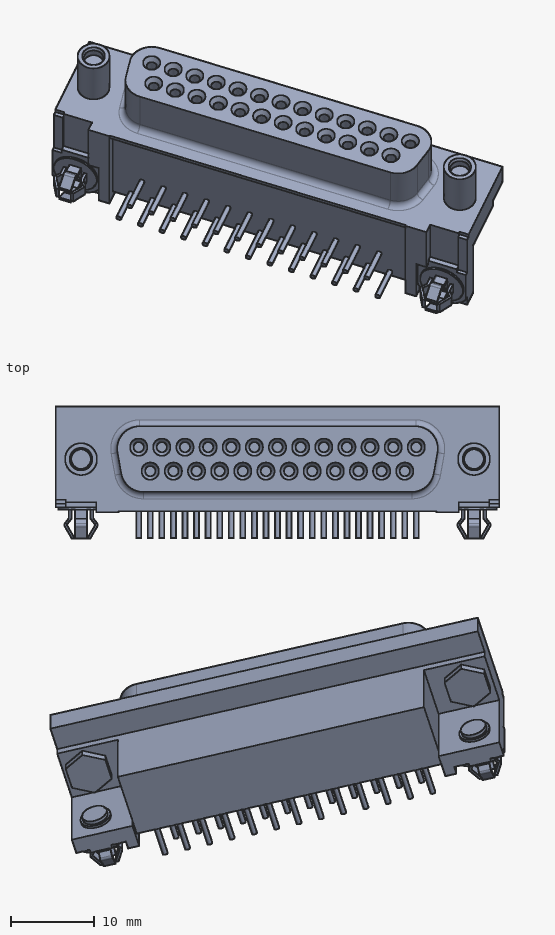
import cadquery as cq
import math

LENGTH = 53.1
FLANGE_TOP = 12.85
FLANGE_BOTTOM = 9.95
BODY_BACK = 12.7
STEP_Y = 9.6
STEP_BOTTOM = 8.95
WALL_BACK = 3.0

INSERT_HALF_X = 19.0
INSERT_BOTTOM = 1.1
INSERT_FRONT = 1.05
LIP_BOTTOM = 12.35
FLANGE_FRONT = 0.1

ROW_GAP = 2.85
LONG_ROW = 13
SHORT_ROW = LONG_ROW - 1
LONG_ROW_SPAN = 33.25
PITCH = LONG_ROW_SPAN / (LONG_ROW - 1)
CENTRE_Y = 6.35
SOCKET_DIA = 1.2
SOCKET_MOUTH = 2.05
SOCKET_SINK = 0.65
SOCKET_DEPTH = 4.25
PIN_DIA = 0.65
PIN_TIP_Y = -3.1
PIN_ROW_Z = 1.85

SHELL_TOP = 18.9
SHELL_DEPTH = 7.85
SHELL_MID_HALF_X = 19.0
SHELL_SLANT = 10.0
SHELL_CORNER = 2.65
SHELL_FLARE = 0.8

END_X = 23.5
POST_TOP = 18.75
POST_DIA = 3.8
POST_BORE = 2.35
POST_MOUTH = 2.7
POST_SINK = 0.35
POST_DEPTH = 1.3
NUT_CORNERS = 5.7
NUT_HEIGHT = 0.9

END_FACE_Y = 1.0
RELIEF_INNER_X = 21.7
CHANNEL_OUTER_X = 25.4
CHANNEL_FLOOR_Y = 1.2
LEDGE_TOP = 6.75
LEDGE_FRONT = 0.6
CORNER_NOTCH_Y = 1.5
LOCK_POCKET_X = 20.4
LOCK_POCKET_TOP = 6.15

LOCK_Z = 3.25
LOCK_DISC_DIA = 5.5
LOCK_DISC_FRONT = 0.3
LOCK_PLATE_DIA = 7.0
LOCK_HOLE = 1.55
LEG_WIDTH = 1.5
LEG_THICKNESS = 0.35
LEG_ROOT_RADIUS = 1.1
LEG_BEND_Y = -0.75
LEG_PEAK_RADIUS = 1.7
LEG_PEAK_Y = -1.5
LEG_TIP_RADIUS = 0.75
LEG_TIP_Y = -3.15
LEG_ROUNDING = 0.35
RIVET_DIA = 3.7
RIVET_HEAD_DIA = 3.1
RIVET_STEP = 0.3
RIVET_HEIGHT = 0.8


def block(x0, x1, y0, y1, z0, z1):
    """Box between opposite corners."""
    return cq.Workplane("XY").box(x1 - x0, y1 - y0, z1 - z0, centered=False).translate((x0, y0, z0))


def cylinder_y(diameter, y0, y1, x, z):
    """Cylinder along Y."""
    plane = cq.Workplane("XZ", origin=(x, y0, z))
    return plane.circle(diameter / 2).extrude(y0 - y1)


def row_positions(count):
    """X positions of one centred row of contacts."""
    return [(i - (count - 1) / 2) * PITCH for i in range(count)]


def make_flange():
    """Flange with a thinner rear edge."""
    half = LENGTH / 2
    rear = block(-half, half, STEP_Y, BODY_BACK, FLANGE_BOTTOM, FLANGE_TOP)
    front = block(-half, half, FLANGE_FRONT, STEP_Y, STEP_BOTTOM, FLANGE_TOP)
    return rear.union(front)


def make_insert():
    """Block that carries the contacts, between the end walls."""
    return block(-INSERT_HALF_X, INSERT_HALF_X, INSERT_FRONT, STEP_Y, INSERT_BOTTOM, LIP_BOTTOM)


def panel_recess():
    """Space in front of the insert, under the flange lip."""
    return block(-INSERT_HALF_X, INSERT_HALF_X, 0, INSERT_FRONT, 0, LIP_BOTTOM)


def make_shell():
    """D-shaped shell, wider at the back, flared where it meets the flange."""
    half_depth = SHELL_DEPTH / 2
    taper = half_depth * math.tan(math.radians(SHELL_SLANT))
    wide = SHELL_MID_HALF_X + taper
    narrow = SHELL_MID_HALF_X - taper
    corners = [(-wide, half_depth), (wide, half_depth), (narrow, -half_depth), (-narrow, -half_depth)]
    outline = cq.Workplane("XY", origin=(0, CENTRE_Y, FLANGE_TOP)).polyline(corners).close()
    return outline.extrude(SHELL_TOP - FLANGE_TOP).edges("|Z").fillet(SHELL_CORNER)


def make_sockets():
    """Countersunk contact holes in two staggered rows."""
    long_row = [(x, ROW_GAP / 2) for x in row_positions(LONG_ROW)]
    short_row = [(x, -ROW_GAP / 2) for x in row_positions(SHORT_ROW)]
    mouth = cq.Workplane("XY", origin=(0, CENTRE_Y, SHELL_TOP)).pushPoints(long_row + short_row)
    bores = mouth.circle(SOCKET_DIA / 2).extrude(-SOCKET_DEPTH)
    cone = cq.Solid.makeCone(SOCKET_DIA / 2, SOCKET_MOUTH / 2, SOCKET_SINK, pnt=(0, 0, -SOCKET_SINK))
    return bores.union(mouth.eachpoint(lambda place: cone.moved(place)))


def make_pins():
    """Solder pins pointing forward in two staggered rows."""
    upper = [(x, PIN_ROW_Z + ROW_GAP) for x in row_positions(SHORT_ROW)]
    lower = [(x, PIN_ROW_Z) for x in row_positions(LONG_ROW)]
    pins = cq.Workplane("XZ", origin=(0, WALL_BACK, 0)).pushPoints(upper + lower)
    return pins.circle(PIN_DIA / 2).extrude(WALL_BACK - PIN_TIP_Y)


def make_end_wall():
    """Left end wall, standing from the bottom up to the flange top."""
    return block(-LENGTH / 2, -INSERT_HALF_X, 0, WALL_BACK, 0, FLANGE_TOP)


def end_relief():
    """Material removed from the front of the left end."""
    outer = -LENGTH / 2
    face = block(outer, -RELIEF_INNER_X, 0, END_FACE_Y, 0, FLANGE_TOP)
    channel = block(-CHANNEL_OUTER_X, -RELIEF_INNER_X, 0, CHANNEL_FLOOR_Y, LEDGE_TOP, FLANGE_TOP)
    notch = block(outer, -CHANNEL_OUTER_X, 0, CORNER_NOTCH_Y, LIP_BOTTOM, FLANGE_TOP)
    pocket = block(outer, -LOCK_POCKET_X, 0, END_FACE_Y, 0, LOCK_POCKET_TOP)
    return face.union(channel).union(notch).union(pocket)


def make_post():
    """Left post, reaching down through the flange."""
    plane = cq.Workplane("XY", origin=(-END_X, CENTRE_Y, STEP_BOTTOM))
    return plane.circle(POST_DIA / 2).extrude(POST_TOP - STEP_BOTTOM)


def make_nut():
    """Hexagonal nut under the flange with corners pointing along Y."""
    nut = cq.Workplane("XY").polygon(6, NUT_CORNERS).extrude(-NUT_HEIGHT)
    return nut.rotate((0, 0, 0), (0, 0, 1), 90).translate((-END_X, CENTRE_Y, STEP_BOTTOM))


def post_bore():
    """Blind bore in the top of the post, with a conical mouth."""
    bore = cq.Workplane("XY", origin=(-END_X, CENTRE_Y, POST_TOP)).circle(POST_BORE / 2).extrude(-POST_DEPTH)
    mouth_base = (-END_X, CENTRE_Y, POST_TOP - POST_SINK)
    mouth = cq.Solid.makeCone(POST_BORE / 2, POST_MOUTH / 2, POST_SINK, pnt=mouth_base)
    return bore.union(cq.Workplane(mouth))


def make_lock_leg():
    """One springy leg of a board lock, on the +X side of the Y axis."""
    inner = [
        (LEG_ROOT_RADIUS, END_FACE_Y),
        (LEG_ROOT_RADIUS, LEG_BEND_Y),
        (LEG_PEAK_RADIUS, LEG_PEAK_Y),
        (LEG_TIP_RADIUS, LEG_TIP_Y),
    ]
    outer = [(radius + LEG_THICKNESS, y) for radius, y in reversed(inner)]
    leg = cq.Workplane("XY").polyline(inner + outer).close().extrude(LEG_WIDTH / 2, both=True)
    peak = (LEG_PEAK_RADIUS + LEG_THICKNESS, LEG_PEAK_Y, 0)
    return leg.edges(cq.selectors.NearestToPointSelector(peak)).fillet(LEG_ROUNDING)


def make_board_lock():
    """Left board lock: ledge, plate, disc, four legs and a rivet behind the wall."""
    ledge = block(-CHANNEL_OUTER_X, -RELIEF_INNER_X, LEDGE_FRONT, END_FACE_Y, LOCK_Z, LEDGE_TOP)
    pocket = block(-LENGTH / 2, -LOCK_POCKET_X, 0, END_FACE_Y, 0, LOCK_POCKET_TOP)
    plate = cylinder_y(LOCK_PLATE_DIA, END_FACE_Y, LEDGE_FRONT, -END_X, LOCK_Z)
    plate_top = block(-LENGTH / 2, -LOCK_POCKET_X, LEDGE_FRONT, END_FACE_Y, LOCK_Z, LOCK_POCKET_TOP)
    plate = plate.intersect(pocket).union(plate_top)
    lock = ledge.union(plate)
    lock = lock.union(cylinder_y(LOCK_DISC_DIA, END_FACE_Y, LOCK_DISC_FRONT, -END_X, LOCK_Z))
    half_hole = LOCK_HOLE / 2
    lock = lock.cut(block(
        -END_X - half_hole, -END_X + half_hole, 0, LEDGE_FRONT, LOCK_Z - half_hole, LOCK_Z + half_hole))
    leg = make_lock_leg()
    for turn in range(4):
        turned = leg.rotate((0, 0, 0), (0, 1, 0), 90 * turn)
        lock = lock.union(turned.translate((-END_X, 0, LOCK_Z)))
    lock = lock.union(cylinder_y(RIVET_DIA, WALL_BACK + RIVET_STEP, WALL_BACK, -END_X, LOCK_Z))
    return lock.union(cylinder_y(RIVET_HEAD_DIA, WALL_BACK + RIVET_HEIGHT, WALL_BACK, -END_X, LOCK_Z))


def on_both_ends(left):
    """A left-end feature together with its mirror image on the right."""
    return left.union(left.mirror("YZ"))


def flare_shell(body):
    """Round the concave edge where the shell meets the flange."""
    x_limit = SHELL_MID_HALF_X + SHELL_CORNER
    y_limit = SHELL_DEPTH / 2 + SHELL_FLARE
    z_limit = SHELL_FLARE / 2
    box = cq.selectors.BoxSelector(
        (-x_limit, CENTRE_Y - y_limit, FLANGE_TOP - z_limit),
        (x_limit, CENTRE_Y + y_limit, FLANGE_TOP + z_limit))
    return body.edges(box).fillet(SHELL_FLARE)


body = make_flange().union(on_both_ends(make_end_wall())).cut(panel_recess())
body = body.union(make_insert())
body = body.cut(on_both_ends(end_relief()))
body = body.union(make_shell())
body = flare_shell(body)
body = body.cut(make_sockets())
body = body.union(make_pins())
body = body.union(on_both_ends(make_post().union(make_nut())))
body = body.cut(on_both_ends(post_bore()))
result = body.union(on_both_ends(make_board_lock()))